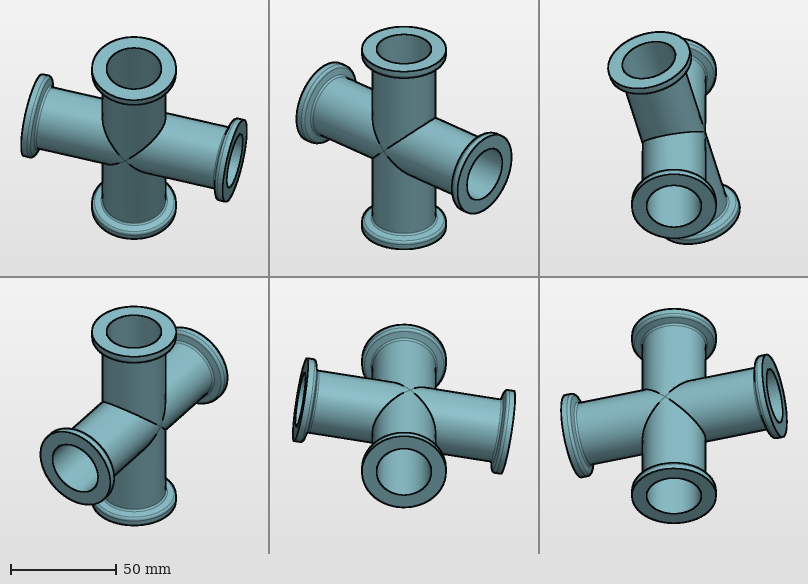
import cadquery as cq
import math

overall_length = 100.0
tube_diameter = 30.0
bore_diameter = 26.0
flange_diameter = 40.0

rim_thickness = 2.85
back_slope = 15.0
rim_fillet = 1.5
root_fillet = 1.0

end_distance = overall_length / 2
tube_radius = tube_diameter / 2
flange_radius = flange_diameter / 2

branch_angles = [0, 90, 180, 270]


def flanged_branch():
    """Solid +Z branch: tube from the centre outward, ending in its flange."""
    slope = math.radians(back_slope)

    fillet_setback = rim_fillet * math.tan((math.pi / 2 - slope) / 2)
    rim_corner_z = end_distance - rim_thickness - fillet_setback
    root_corner_z = rim_corner_z - (flange_radius - tube_radius) * math.tan(slope)

    branch = (
        cq.Workplane("XZ")
        .lineTo(tube_radius, 0)
        .lineTo(tube_radius, root_corner_z)
        .lineTo(flange_radius, rim_corner_z)
        .lineTo(flange_radius, end_distance)
        .lineTo(0, end_distance)
        .close()
        .revolve(360, (0, 0, 0), (0, 1, 0))
    )
    rim_corner = cq.selectors.NearestToPointSelector((0, 0, rim_corner_z))
    root_corner = cq.selectors.NearestToPointSelector((0, 0, root_corner_z))
    return branch.edges(rim_corner).fillet(rim_fillet).edges(root_corner).fillet(root_fillet)


def bore():
    """Through bore along Z."""
    return cq.Workplane("XY").circle(bore_diameter / 2).extrude(end_distance, both=True)


def turned(shape, angle):
    """Shape rotated about the Y axis through the centre of the cross."""
    return shape.rotate((0, 0, 0), (0, 1, 0), angle)


branch = flanged_branch()
result = branch
for angle in branch_angles[1:]:
    result = result.union(turned(branch, angle))

for angle in branch_angles[:2]:
    result = result.cut(turned(bore(), angle))